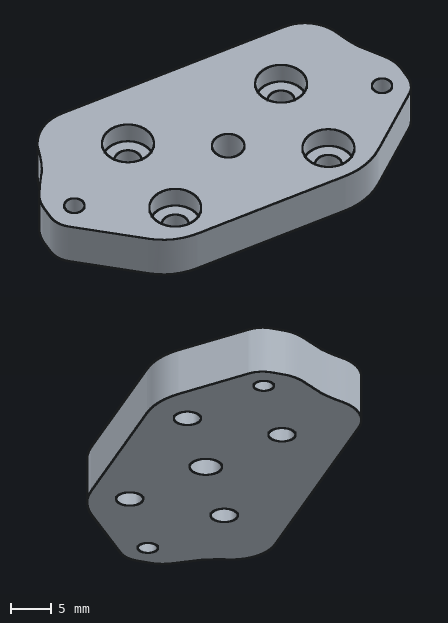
import cadquery as cq
import math

length = 50.6
width = 26.15
thickness = 6.3
half_length = length / 2
half_width = width / 2

hole_axis_x = 1.6
center_hole_diameter = 4.05
end_hole_diameter = 2.55
end_hole_spacing = 43.5
screw_hole_diameter = 3.4
counterbore_diameter = 6.5
counterbore_depth = 3.05
screw_spacing_x = 12.5
screw_spacing_y = 21.65

left_edge_half = 15.7
shoulder_radius = 5.7
shoulder_end_x = -8.9
hollow_end = (-5.8, 22.35)
ramp_end = (-2.65, 24.45)

flat_start_x = -0.05
flat_end_x = 1.8
nose_radius = 3.4
side_radius = 9.05
slope_angle = math.radians(50)
side_tangent_x = half_width - side_radius * (1 - math.sin(slope_angle))


def arc_point(center, radius, angle):
    """Point on a circle at an angle measured from +X."""
    return (center[0] + radius * math.cos(angle), center[1] + radius * math.sin(angle))


def half_profile():
    """Half of the plate outline at positive Y, closed along the X axis."""
    shoulder_center = (-half_width + shoulder_radius, left_edge_half)
    shoulder_end_angle = math.acos((shoulder_end_x - shoulder_center[0]) / shoulder_radius)
    shoulder_mid_angle = (math.pi + shoulder_end_angle) / 2

    slope_normal = math.pi / 2 - slope_angle
    nose_center = (flat_end_x, half_length - nose_radius)
    nose_end = arc_point(nose_center, nose_radius, slope_normal)
    slope_end_y = nose_end[1] - (side_tangent_x - nose_end[0]) * math.tan(slope_angle)
    side_center = (half_width - side_radius, slope_end_y - side_radius * math.sin(slope_normal))

    return (
        cq.Workplane("XY")
        .moveTo(-half_width, 0)
        .lineTo(-half_width, left_edge_half)
        .threePointArc(
            arc_point(shoulder_center, shoulder_radius, shoulder_mid_angle),
            arc_point(shoulder_center, shoulder_radius, shoulder_end_angle),
        )
        .tangentArcPoint(hollow_end, relative=False)
        .lineTo(*ramp_end)
        .tangentArcPoint((flat_start_x, half_length), relative=False)
        .lineTo(flat_end_x, half_length)
        .threePointArc(arc_point(nose_center, nose_radius, (math.pi / 2 + slope_normal) / 2), nose_end)
        .lineTo(side_tangent_x, slope_end_y)
        .threePointArc(
            arc_point(side_center, side_radius, slope_normal / 2),
            (half_width, side_center[1]),
        )
        .lineTo(half_width, 0)
        .close()
    )


half_plate = half_profile().extrude(thickness)
plate = half_plate.union(half_plate.mirror("XZ")).clean()

hole_plane = plate.faces(">Z").workplane(origin=(hole_axis_x, 0, thickness))
plate = hole_plane.hole(center_hole_diameter)
plate = (
    plate.faces(">Z")
    .workplane(origin=(hole_axis_x, 0, thickness))
    .rarray(0.5, end_hole_spacing, 1, 2)
    .hole(end_hole_diameter)
)

result = (
    plate.faces(">Z")
    .workplane(origin=(hole_axis_x, 0, thickness))
    .rarray(screw_spacing_x, screw_spacing_y, 2, 2)
    .cboreHole(screw_hole_diameter, counterbore_diameter, counterbore_depth)
)